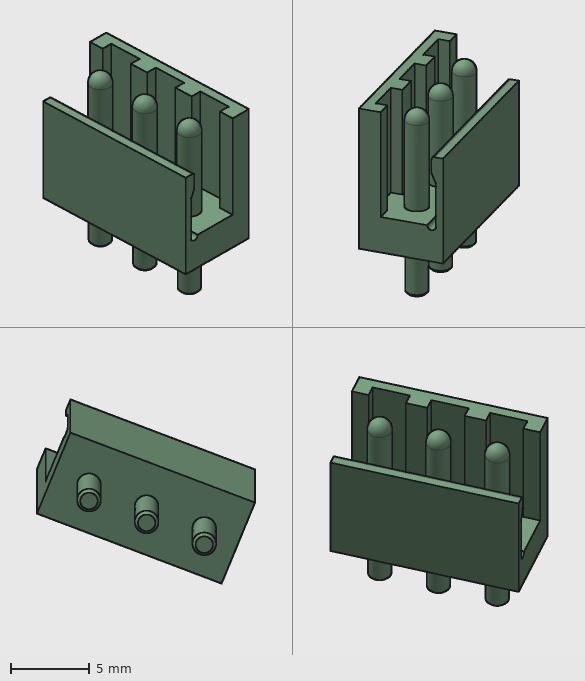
import cadquery as cq

width = 12.68
depth = 5.8
back_height = 9.9
floor_height = 2.51
back_thickness = 1.5

front_height = 7.4
front_thickness = 0.5
lip_thickness = 0.8
lip_rounding = 0.2
lip_straight_end = 6.22
lip_ramp_end = 5.56
groove_radius = 0.3

recess_width = 2.51
recess_skin = 0.7

pin_count = 3
pin_pitch = 3.95
pin_from_front = 2.8
contact_radius = 0.8
contact_top = 9.4
tail_radius = 0.75
tail_length = 13.5 - back_height
tail_chamfer = 0.2

front_y = -depth / 2
back_y = depth / 2
back_wall_y = back_y - back_thickness
lip_y = front_y + lip_thickness
latch_y = front_y + front_thickness
pin_y = front_y + pin_from_front
pin_xs = [(i - (pin_count - 1) / 2) * pin_pitch for i in range(pin_count)]


def make_housing():
    """Extrude the channel section, including the latch lip and root groove."""
    section = (
        cq.Workplane("YZ")
        .moveTo(front_y, 0)
        .lineTo(back_y, 0)
        .lineTo(back_y, back_height)
        .lineTo(back_wall_y, back_height)
        .lineTo(back_wall_y, floor_height)
        .lineTo(latch_y + 2 * groove_radius, floor_height)
        .threePointArc(
            (latch_y + groove_radius, floor_height - groove_radius),
            (latch_y, floor_height),
        )
        .lineTo(latch_y, lip_ramp_end)
        .lineTo(lip_y, lip_straight_end)
        .lineTo(lip_y, front_height - lip_rounding)
        .radiusArc((lip_y - lip_rounding, front_height), -lip_rounding)
        .lineTo(front_y, front_height)
        .close()
    )
    return section.extrude(width / 2, both=True)


def make_recess(x):
    """Cutter that thins the back wall from the channel floor to the top."""
    recess_depth = back_thickness - recess_skin
    return (
        cq.Workplane("XY", origin=(x, back_wall_y + recess_depth / 2, floor_height))
        .rect(recess_width, recess_depth)
        .extrude(back_height - floor_height)
    )


def make_pin(x):
    """Domed contact above the floor and a thinner chamfered tail below."""
    contact = (
        cq.Workplane("XY", origin=(x, pin_y, 0))
        .circle(contact_radius)
        .extrude(contact_top - contact_radius)
    )
    dome = cq.Workplane("XY", origin=(x, pin_y, contact_top - contact_radius)).sphere(contact_radius)
    tail = (
        cq.Workplane("XY", origin=(x, pin_y, -tail_length))
        .circle(tail_radius)
        .extrude(tail_length)
        .faces("<Z")
        .chamfer(tail_chamfer)
    )
    return contact.union(dome).union(tail)


result = make_housing()
for pin_x in pin_xs:
    result = result.cut(make_recess(pin_x))
    result = result.union(make_pin(pin_x))